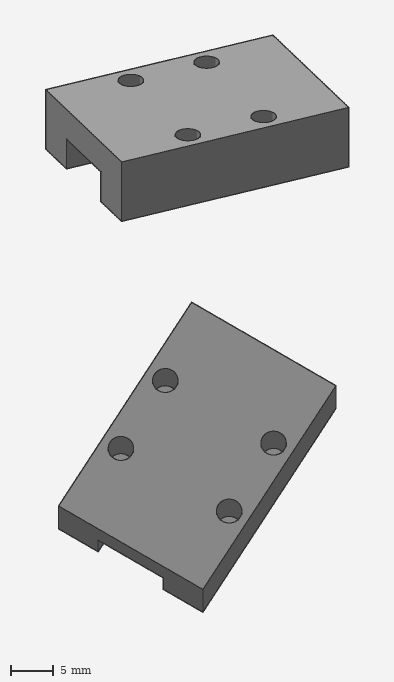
import cadquery as cq

length = 30.0
width = length * 2 / 3
height = length * 4 / 15

channel_width = 9.0
channel_depth = height / 2

hole_diameter = 3.0
hole_depth = 6.0
hole_spacing_x = 15.0
hole_spacing_y = length / 3


def make_block():
    """Block centred in X and Y, resting on Z = 0."""
    return cq.Workplane("XY").box(width, length, height, centered=(True, True, False))


def make_channel():
    """Rectangular channel open at the bottom and at both ends."""
    return cq.Workplane("XY").box(channel_width, length, channel_depth, centered=(True, True, False))


def make_holes():
    """Four flat-bottomed holes on a rectangular pattern, sunk from the top face."""
    return (
        cq.Workplane("XY", origin=(0, 0, height))
        .rarray(hole_spacing_x, hole_spacing_y, 2, 2)
        .circle(hole_diameter / 2)
        .extrude(-hole_depth)
    )


result = make_block().cut(make_channel()).cut(make_holes())